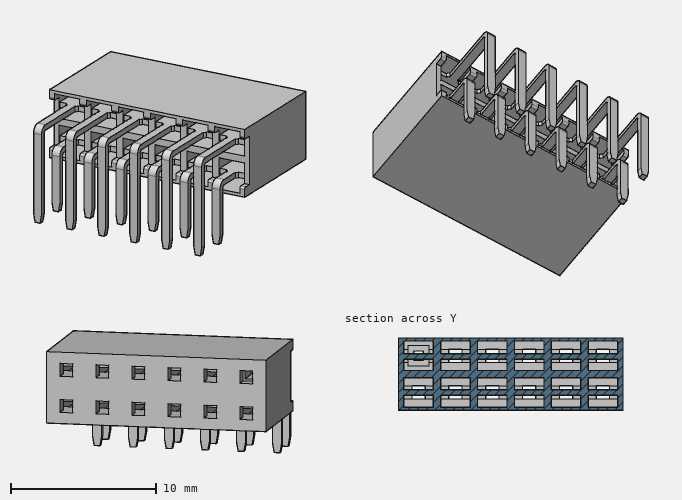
import cadquery as cq


length = 15.49
depth = 8.5
height = 5.0

column_count = 6
pitch = 2.54
row_inset = 1.24
upper_row_z = height - row_inset
lower_row_z = row_inset
column_xs = [(i - (column_count - 1) / 2) * pitch for i in range(column_count)]

recess_depth = 0.65
lip_thickness = 0.73
lip_radius = 0.15

cavity_size = 2.01
cavity_end_y = 6.2
slot_height = 0.9
slot_end_y = 7.44
mating_hole = 0.9

guide_size = 1.43
guide_hole = 0.64
guide_start_y = 4.65

metal = 0.4
tail_width = 0.64
blade_start_y = 0.76
blade_end_y = 5.58
root_radius = 0.17
upper_metal_z = height - 1.29
lower_metal_z = lower_row_z
inner_bend = 0.15
overall_depth = 12.6
upper_reach = overall_depth - depth
lower_reach = upper_reach - pitch
overall_height = 8.2
tip_z = height - overall_height
tip_length = 0.64
tip_width = 0.4


def box(size_x, size_z, y_start, y_end, x, z):
    """Box centred on (x, z) that runs from y_start to y_end."""
    middle = (x, (y_start + y_end) / 2, z)
    return cq.Workplane("XY").box(size_x, y_end - y_start, size_z).translate(middle)


def housing_block():
    """Block with the recess along its tail side and rounded lip edges."""
    profile = (
        cq.Workplane("YZ")
        .moveTo(0, 0)
        .lineTo(depth, 0)
        .lineTo(depth, height)
        .lineTo(0, height)
        .lineTo(0, height - lip_thickness + lip_radius)
        .radiusArc((lip_radius, height - lip_thickness), -lip_radius)
        .lineTo(recess_depth, height - lip_thickness)
        .lineTo(recess_depth, lip_thickness)
        .lineTo(lip_radius, lip_thickness)
        .radiusArc((0, lip_thickness - lip_radius), -lip_radius)
        .close()
    )
    return profile.extrude(length / 2, both=True)


def cavity(x, z):
    """Stepped opening from the tail side through to the mating face."""
    opening = box(cavity_size, cavity_size, 0, cavity_end_y, x, z)
    slot = box(cavity_size, slot_height, 0, slot_end_y, x, z)
    hole = box(mating_hole, mating_hole, 0, depth, x, z)
    return opening.union(slot).union(hole)


def guide_block(x, z):
    """Square block with a narrow square hole, standing on the end of the slot."""
    block = box(guide_size, guide_size, guide_start_y, slot_end_y, x, z)
    return block.cut(box(guide_hole, guide_hole, guide_start_y, slot_end_y, x, z))


def tail(z, reach):
    """Narrow strip running out of the block and bent down to a tapered tip."""
    top = z + metal / 2
    bottom = z - metal / 2
    outer_bend = inner_bend + metal
    side = (
        cq.Workplane("YZ")
        .moveTo(blade_end_y, top)
        .lineTo(outer_bend - reach, top)
        .radiusArc((-reach, top - outer_bend), -outer_bend)
        .lineTo(-reach, tip_z)
        .lineTo(metal - reach, tip_z)
        .lineTo(metal - reach, bottom - inner_bend)
        .radiusArc((outer_bend - reach, bottom), inner_bend)
        .lineTo(blade_end_y, bottom)
        .close()
        .extrude(tail_width / 2, both=True)
    )
    half_tail = tail_width / 2
    half_tip = tip_width / 2
    tail_outline = (
        cq.Workplane("XZ")
        .moveTo(-half_tip, tip_z)
        .lineTo(half_tip, tip_z)
        .lineTo(half_tail, tip_z + tip_length)
        .lineTo(half_tail, top)
        .lineTo(-half_tail, top)
        .lineTo(-half_tail, tip_z + tip_length)
        .close()
        .extrude(depth + reach, both=True)
    )
    return side.intersect(tail_outline)


def blade(z):
    """Plate as wide as the cavity, curving in at its front to meet the tail."""
    half_tail = tail_width / 2
    half_blade = cavity_size / 2
    root_x = half_tail + root_radius
    root_y = blade_start_y - root_radius
    outline = (
        cq.Workplane("XY", origin=(0, 0, z - metal / 2))
        .moveTo(-half_blade, blade_end_y)
        .lineTo(-half_blade, blade_start_y)
        .lineTo(-root_x, blade_start_y)
        .radiusArc((-half_tail, root_y), -root_radius)
        .lineTo(half_tail, root_y)
        .radiusArc((root_x, blade_start_y), -root_radius)
        .lineTo(half_blade, blade_start_y)
        .lineTo(half_blade, blade_end_y)
        .close()
    )
    return outline.extrude(metal)


def contact(x, z, reach):
    """One contact: blade and tail in a single piece."""
    return tail(z, reach).union(blade(z)).translate((x, 0, 0))


result = housing_block()
for column_x in column_xs:
    result = result.cut(cavity(column_x, upper_row_z)).cut(cavity(column_x, lower_row_z))

result = result.union(guide_block(column_xs[0], upper_row_z))

for column_x in column_xs:
    result = result.union(contact(column_x, upper_metal_z, upper_reach))
    result = result.union(contact(column_x, lower_metal_z, lower_reach))